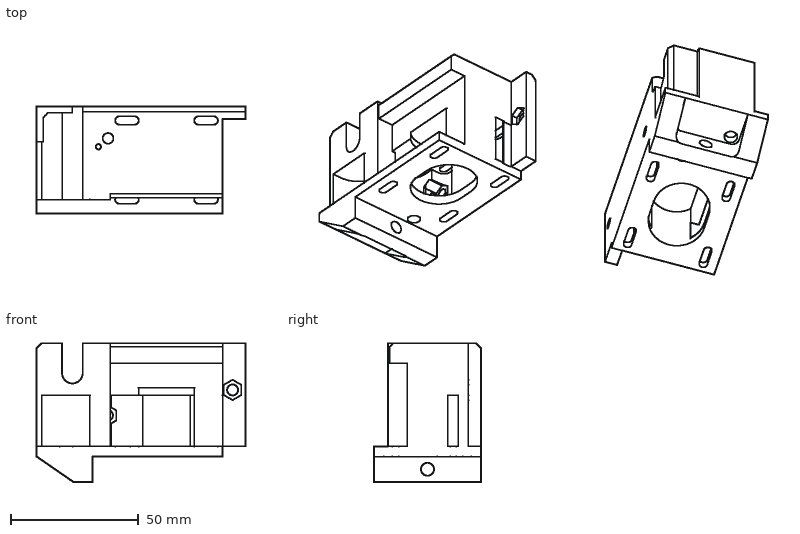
import cadquery as cq
import math

foot_height = 10.0
base_thickness = 4.0
cavity_height = 20.0
overall_height = 54.5
base_top = foot_height + base_thickness
cavity_top = base_top + cavity_height

body_length = 73.0
body_width = 42.0
overall_length = 82.0
body_front = 13.0
flange_thickness = 5.0

block_length = 29.0
block_front = 5.5
lip_front = 6.2
lip_height = 8.0
lip_chamfer = 1.5
top_chamfer = 2.0

foot_length = 22.0
foot_flat_start = 14.5
foot_pocket_wall = 14.8
foot_pocket_width = 25.6
foot_pocket_radius = 2.8
foot_hole_diameter = 5.0

channel_width = 8.0
channel_x = 14.1
channel_axis_z = 42.7

corner_side_depth = 2.7
corner_side_start = 28.1
corner_back_depth = 2.4
corner_bevel = 1.9

motor_x = 51.0
motor_y = body_width / 2
motor_travel = 6.0
motor_screw_pitch = 31.0
screw_slot_width = 3.2
pilot_radius = 11.2
pilot_recess = 3.0
head_slot_width = 6.2

cavity_back = 33.0
side_wall = 2.1
small_gear_radius = 10.5
ridge_radius = 3.1
large_gear_radius = 10.0
gap_front = 29.0

post_width = 8.0
post_depth = 9.0

screw_diameter = 4.2
nut_flats = 6.9
nut_floor_y = 39.5
flange_screw = (76.9, 36.1)
body_screw = (27.85, 26.1)
top_hole = (28.1, 29.5)
top_hole_depth = 10.0
pin_hole = (24.3, 26.2)
pin_diameter = 2.0
shaft_diameter = 5.0
base_shaft_holes = [(11.7, 11.7), (25.2, 27.4)]


def block(x0, x1, y0, y1, z0, z1):
    """Box given by its limits along each axis."""
    return cq.Workplane("XY").box(x1 - x0, y1 - y0, z1 - z0, centered=False).translate((x0, y0, z0))


def upright_slot(x, y, width, z0, z1):
    """Vertical slot, long enough for the motor travel."""
    slot = cq.Workplane("XY").workplane(offset=z0).center(x, y)
    return slot.slot2D(motor_travel + width, width).extrude(z1 - z0)


def upright_hole(x, y, diameter, z0, z1):
    return cq.Workplane("XY").workplane(offset=z0).center(x, y).circle(diameter / 2).extrude(z1 - z0)


def facing_front(sketch_plane_y):
    """XZ workplane at the given Y; extruding by a negative length goes toward +Y."""
    return cq.Workplane("XZ", origin=(0, sketch_plane_y, 0))


def make_body():
    base = block(0, body_length, 0, body_width, foot_height, base_top)
    left = block(0, block_length, block_front, body_width, base_top, overall_height)
    left = left.faces("<X").edges(">Z").chamfer(top_chamfer)
    right = block(block_length, body_length, body_front, body_width, base_top, overall_height)
    flange_front = body_width - flange_thickness
    flange = block(body_length, overall_length, flange_front, body_width, base_top, overall_height)
    lip = block(block_length, body_length, lip_front, body_front,
                overall_height - lip_height, overall_height)
    lip = lip.faces("<Y").edges(">Z").chamfer(lip_chamfer)
    body = base.union(left).union(right).union(flange).union(lip)
    return body.cut(make_back_bevel())


def make_back_bevel():
    """Prism removed from the long top edge at the back."""
    profile = cq.Workplane("YZ").moveTo(body_width, overall_height)
    profile = profile.lineTo(body_width - top_chamfer, overall_height)
    return profile.lineTo(body_width, overall_height - top_chamfer).close().extrude(overall_length)


def make_foot():
    foot = (
        facing_front(0)
        .polyline([(0, foot_height), (foot_flat_start, 0), (foot_length, 0), (foot_length, foot_height)])
        .close()
        .extrude(-body_width)
    )
    pocket = block(0, foot_pocket_wall, motor_y - foot_pocket_width / 2,
                   motor_y + foot_pocket_width / 2, 0, foot_height)
    pocket = pocket.faces(">X").edges("|Z").fillet(foot_pocket_radius)
    hole = (
        cq.Workplane("YZ", origin=(0, motor_y, foot_height / 2))
        .circle(foot_hole_diameter / 2)
        .extrude(foot_length)
    )
    return foot.cut(pocket).cut(hole)


def make_cavity():
    """Gear cavity: two round corners joined by a tangent ridge, then a straight back wall."""
    diagonal = math.sqrt(0.5)
    small_x = side_wall + small_gear_radius
    ridge_x = small_x + ridge_radius
    large_x = ridge_x + large_gear_radius
    large_y = cavity_back - large_gear_radius
    small_y = large_y - ridge_radius - small_gear_radius
    outline = (
        cq.Workplane("XY")
        .workplane(offset=base_top)
        .moveTo(side_wall, 0)
        .lineTo(side_wall, small_y)
        .threePointArc(
            (small_x - small_gear_radius * diagonal, small_y + small_gear_radius * diagonal),
            (small_x, small_y + small_gear_radius),
        )
        .threePointArc(
            (small_x + ridge_radius * diagonal, large_y - ridge_radius * diagonal),
            (ridge_x, large_y),
        )
        .threePointArc(
            (large_x - large_gear_radius * diagonal, large_y + large_gear_radius * diagonal),
            (large_x, cavity_back),
        )
        .lineTo(body_length, cavity_back)
        .lineTo(body_length, gap_front)
        .lineTo(motor_x, gap_front)
        .lineTo(motor_x, 0)
        .close()
    )
    post = block(block_length - post_width, block_length, block_front, block_front + post_depth,
                 base_top, cavity_top)
    return outline.extrude(cavity_height).cut(post)


def make_motor_cuts():
    """Pilot opening through base and cavity, with the screw slots around it."""
    cuts = upright_slot(motor_x, motor_y, 2 * pilot_radius, foot_height, cavity_top + pilot_recess)
    front_y = motor_y - motor_screw_pitch / 2
    back_y = motor_y + motor_screw_pitch / 2
    for side in (-1, 1):
        x = motor_x + side * motor_screw_pitch / 2
        cuts = cuts.union(upright_slot(x, front_y, screw_slot_width, foot_height, base_top))
        cuts = cuts.union(upright_slot(x, back_y, screw_slot_width, foot_height, overall_height))
        cuts = cuts.union(upright_slot(x, back_y, head_slot_width, base_top, cavity_top))
        half_length = (motor_travel + head_slot_width) / 2
        cuts = cuts.union(block(x - half_length, x + half_length, cavity_back, back_y, base_top, cavity_top))
    return cuts


def make_channel():
    slot = facing_front(0).center(channel_x, channel_axis_z).circle(channel_width / 2).extrude(-body_width)
    half = channel_width / 2
    return slot.union(block(channel_x - half, channel_x + half, 0, body_width, channel_axis_z, overall_height))


def make_corner_clearance():
    back = body_width - corner_back_depth
    return (
        cq.Workplane("XY")
        .workplane(offset=base_top)
        .polyline([
            (0, corner_side_start),
            (corner_side_depth, corner_side_start),
            (corner_side_depth, back - corner_bevel),
            (corner_side_depth + corner_bevel, back),
            (channel_x, back),
            (channel_x, body_width),
            (0, body_width),
        ])
        .close()
        .extrude(overall_height - base_top)
    )


def make_nut_hole(x, z, front_y):
    """Screw hole along Y with a hexagonal nut pocket, points up and down."""
    hole = facing_front(front_y).center(x, z).circle(screw_diameter / 2).extrude(front_y - body_width)
    corner_diameter = nut_flats / math.cos(math.radians(30))
    nut = (
        facing_front(front_y)
        .center(x, z)
        .transformed(rotate=(0, 0, 30))
        .polygon(6, corner_diameter)
        .extrude(front_y - nut_floor_y)
    )
    return hole.union(nut)


def make_upright_holes():
    holes = upright_hole(*pin_hole, pin_diameter, foot_height, overall_height)
    top_hole_floor = overall_height - top_hole_depth
    holes = holes.union(upright_hole(*top_hole, screw_diameter, top_hole_floor, overall_height))
    for x, y in base_shaft_holes:
        holes = holes.union(upright_hole(x, y, shaft_diameter, foot_height, base_top))
    return holes


result = (
    make_body()
    .cut(make_cavity())
    .cut(make_motor_cuts())
    .cut(make_channel())
    .cut(make_corner_clearance())
    .cut(make_nut_hole(*flange_screw, body_width - flange_thickness))
    .cut(make_nut_hole(*body_screw, cavity_back))
    .cut(make_upright_holes())
    .union(make_foot())
)